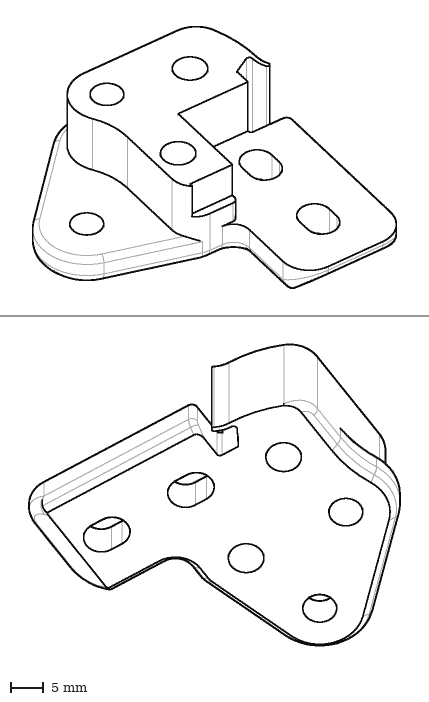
import cadquery as cq
import math


LENGTH = 51.5
WIDTH = 48.0

PIVOT = (0.0, 0.0)
TIP = (13.35, -13.1)
ELBOW = (17.6, 1.1)
UPPER = (2.3, 13.95)
SMALL_HOLE = 5.2
LARGE_HOLE = 5.45
SLOT_X = 17.65
SLOT_Y = 16.55
SLOT_PITCH = 15.45
SLOTS = [(SLOT_X, SLOT_Y), (SLOT_X + SLOT_PITCH, SLOT_Y)]
SLOT_LENGTH = 7.45

BASE_TOP = 5.6
PLATE_TOP = 6.05
LEDGE_TOP = 9.8
BLOCK_TOP = 16.0

RIM_RADIUS = 8.35
FLANK_RADIUS = 20.0
RIM_FILLET = 1.0
BASE_FRONT = TIP[1] - RIM_RADIUS

PLATE_LEFT = 10.6
PLATE_RIGHT = LENGTH - RIM_RADIUS
PLATE_BACK = BASE_FRONT + WIDTH
PLATE_FRONT = 6.4
PLATE_CORNER = 5.0
PLATE_SMALL_CORNER = 1.0
WEB_RADIUS = 3.0

BLOCK_LEFT = -6.15
BLOCK_FRONT = -3.15
BLOCK_RIGHT = 26.1
BLOCK_ARM_RIGHT = 10.0
BLOCK_FRONT_CORNER = 4.15
FRONT_CORNER = (BLOCK_RIGHT - BLOCK_FRONT_CORNER, BLOCK_FRONT + BLOCK_FRONT_CORNER)
WAIST_RADIUS = 11.85
BACK_CORNER = 5.05
LEDGE_LEFT = 24.6
LEDGE_FRONT = -1.55
LEDGE_CORNER = 1.0

BACK_RADIUS = 22.9
HOOK_START = (5.85, 23.95)
HOOK_RADIUS = 4.65
HOOK_THICKNESS = 0.75
HOOK_SWEEP = 30
NOTCH_FLOOR = 19.5
NOTCH_ROUND = 0.55
NOTCH_WALL_ANGLE = 60
NOTCH_CORNER = 0.55

MARGIN = 0.005

BEVEL = 1.55
END_BEVEL = 4.55
BEVEL_FILLET = 2.0


def on_circle(centre, radius, degrees):
    angle = math.radians(degrees)
    return (centre[0] + radius * math.cos(angle), centre[1] + radius * math.sin(angle))


def direction(start, end):
    return math.degrees(math.atan2(end[1] - start[1], end[0] - start[0]))


def tangent_angle(first, first_radius, second, second_radius):
    """Direction from both centres to the right-hand outer tangent, going first to second."""
    spread = math.degrees(math.acos((first_radius - second_radius) / math.dist(first, second)))
    return direction(first, second) - spread


def arc(sketch, centre, radius, start, end):
    """Add an arc from the current point, which lies at the start angle."""
    middle = on_circle(centre, radius, (start + end) / 2)
    return sketch.threePointArc(middle, on_circle(centre, radius, end))


def back_arcs():
    """Centres of the wide back arc and of the corner arc tangent to it, and where they meet."""
    back = (HOOK_START[0], HOOK_START[1] - BACK_RADIUS)
    corner_x = BLOCK_LEFT + BACK_CORNER
    corner_rise = math.sqrt((BACK_RADIUS - BACK_CORNER) ** 2 - (corner_x - back[0]) ** 2)
    corner = (corner_x, back[1] + corner_rise)
    return back, corner, direction(back, corner)


def flank_centre():
    """Centre of the concave arc that joins the block's left side to the rim around the pivot."""
    x = BLOCK_LEFT - FLANK_RADIUS
    return (x, math.sqrt((FLANK_RADIUS + RIM_RADIUS) ** 2 - x**2))


def footprint(z, round_corner=False):
    """Outline of the base, the block side and the plate; the back left corner is square or rounded."""
    flank = flank_centre()
    flank_angle = direction(PIVOT, flank)
    lower = tangent_angle(PIVOT, RIM_RADIUS, TIP, RIM_RADIUS)
    side = tangent_angle(TIP, RIM_RADIUS, FRONT_CORNER, BLOCK_FRONT_CORNER)
    web = (BLOCK_RIGHT + WEB_RADIUS, PLATE_FRONT - WEB_RADIUS)

    sketch = cq.Workplane("XY", origin=(0, 0, z))
    if round_corner:
        _, corner, back_angle = back_arcs()
        corner_end = on_circle(corner, BACK_CORNER, back_angle)
        sketch = sketch.moveTo(corner_end[0], PLATE_BACK).lineTo(*corner_end)
        sketch = arc(sketch, corner, BACK_CORNER, back_angle, 180)
    else:
        sketch = sketch.moveTo(BLOCK_LEFT, PLATE_BACK)
    sketch = sketch.lineTo(BLOCK_LEFT, flank[1])
    sketch = arc(sketch, flank, FLANK_RADIUS, 0, flank_angle - 180)
    sketch = arc(sketch, PIVOT, RIM_RADIUS, flank_angle, lower + 360)
    sketch = sketch.lineTo(*on_circle(TIP, RIM_RADIUS, lower))
    sketch = arc(sketch, TIP, RIM_RADIUS, lower, side)
    sketch = sketch.lineTo(*on_circle(FRONT_CORNER, BLOCK_FRONT_CORNER, side))
    sketch = arc(sketch, FRONT_CORNER, BLOCK_FRONT_CORNER, side, 0)
    sketch = sketch.lineTo(BLOCK_RIGHT, web[1])
    sketch = arc(sketch, web, WEB_RADIUS, 180, 90)
    return sketch.lineTo(PLATE_RIGHT, PLATE_FRONT).lineTo(PLATE_RIGHT, PLATE_BACK).close()


def nearest(x, y, z):
    return cq.selectors.NearestToPointSelector((x, y, z))


def within(x_min, x_max, y_min, y_max, z_min, z_max):
    """Selector for edges or faces whose centres lie in a box."""
    return cq.selectors.BoxSelector((x_min, y_min, z_min), (x_max, y_max, z_max))


def slab(x_min, x_max, y_min, y_max, z_min, z_max):
    size = (x_max - x_min, y_max - y_min, z_max - z_min)
    return cq.Workplane("XY").box(*size, centered=False).translate((x_min, y_min, z_min))


def make_base():
    """Triangular base with a rounded top rim, ending behind the start of its left flank."""
    area = slab(-RIM_RADIUS, BLOCK_RIGHT, BASE_FRONT, UPPER[1], 0, BASE_TOP)
    base = footprint(0).extrude(BASE_TOP).intersect(area)
    flank_end = flank_centre()[1]
    rim = within(-RIM_RADIUS, BLOCK_RIGHT - MARGIN, BASE_FRONT, flank_end, 0, BASE_TOP + MARGIN)
    return base.faces(">Z").edges(rim).fillet(RIM_FILLET)


def make_plate():
    """Slotted plate with a wide, softened bevel under its right end."""
    area = slab(BLOCK_ARM_RIGHT, PLATE_RIGHT, ELBOW[1], PLATE_BACK, 0, PLATE_TOP)
    notch = slab(BLOCK_ARM_RIGHT, PLATE_LEFT, NOTCH_FLOOR, PLATE_BACK, 0, PLATE_TOP)
    plate = footprint(0).extrude(PLATE_TOP).intersect(area).cut(notch)
    plate = plate.edges("|Z").edges(">X").fillet(PLATE_CORNER)
    plate = plate.edges(nearest(PLATE_LEFT, NOTCH_FLOOR, PLATE_TOP / 2)).fillet(NOTCH_CORNER)

    bevel_start = PLATE_RIGHT - END_BEVEL
    wedge = (
        cq.Workplane("XZ", origin=(0, PLATE_BACK, 0))
        .polyline([(bevel_start, 0), (PLATE_RIGHT, 0), (PLATE_RIGHT, END_BEVEL)])
        .close()
        .extrude(PLATE_BACK)
    )
    plate = plate.cut(wedge)
    bevel_end = PLATE_RIGHT + MARGIN
    bevel_top = within(bevel_start, bevel_end, PLATE_FRONT, PLATE_BACK, MARGIN, END_BEVEL + MARGIN)
    return plate.edges(bevel_top).edges("%ELLIPSE or >X").fillet(BEVEL_FILLET)


def block_outline():
    """Outline of the L-shaped block, with the thin hook and the notch at its back."""
    waist_y = BLOCK_FRONT - WAIST_RADIUS
    reach = WAIST_RADIUS - BLOCK_LEFT
    waist = (math.sqrt(reach**2 - waist_y**2), waist_y)
    waist_angle = direction(PIVOT, waist)

    back, corner, back_angle = back_arcs()

    hook = (HOOK_START[0], HOOK_START[1] + HOOK_RADIUS)
    hook_outer = HOOK_RADIUS + HOOK_THICKNESS
    hook_end = HOOK_SWEEP - 90
    hook_tip = on_circle(hook, HOOK_RADIUS + HOOK_THICKNESS / 2, hook_end)
    notch = (HOOK_START[0], HOOK_START[1] - HOOK_THICKNESS - NOTCH_ROUND)
    wall_end = 270 - NOTCH_WALL_ANGLE
    wall_top = on_circle(notch, NOTCH_ROUND, wall_end)
    wall_run = (wall_top[1] - NOTCH_FLOOR) / math.tan(math.radians(NOTCH_WALL_ANGLE))

    sketch = cq.Workplane("XY").moveTo(BLOCK_LEFT, corner[1]).lineTo(BLOCK_LEFT, PIVOT[1])
    sketch = arc(sketch, PIVOT, -BLOCK_LEFT, 180, waist_angle + 360)
    sketch = arc(sketch, waist, WAIST_RADIUS, waist_angle + 180, 90)
    sketch = sketch.lineTo(FRONT_CORNER[0], BLOCK_FRONT)
    sketch = arc(sketch, FRONT_CORNER, BLOCK_FRONT_CORNER, -90, 0)
    sketch = sketch.lineTo(BLOCK_RIGHT, PLATE_FRONT).lineTo(BLOCK_ARM_RIGHT, PLATE_FRONT)
    sketch = sketch.lineTo(BLOCK_ARM_RIGHT, NOTCH_FLOOR).lineTo(wall_top[0] + wall_run, NOTCH_FLOOR)
    sketch = sketch.lineTo(*wall_top)
    sketch = arc(sketch, notch, NOTCH_ROUND, wall_end, 90)
    sketch = arc(sketch, hook, hook_outer, -90, hook_end)
    sketch = arc(sketch, hook_tip, HOOK_THICKNESS / 2, hook_end, hook_end + 180)
    sketch = arc(sketch, hook, HOOK_RADIUS, hook_end, -90)
    sketch = arc(sketch, back, BACK_RADIUS, 90, back_angle)
    return arc(sketch, corner, BACK_CORNER, back_angle, 180).close()


def make_block():
    """Raised block, lowered to a narrow ledge at the right end of its arm."""
    block = block_outline().extrude(BLOCK_TOP)
    block = block.edges(nearest(BLOCK_RIGHT, PLATE_FRONT, BLOCK_TOP / 2)).fillet(LEDGE_CORNER)
    return block.cut(slab(LEDGE_LEFT, PLATE_RIGHT, LEDGE_FRONT, PLATE_BACK, LEDGE_TOP, BLOCK_TOP))


def bevelled_envelope():
    """Full-height prism over the whole part, with the softened bevel around its bottom edge."""
    prism = footprint(0, round_corner=True).extrude(BLOCK_TOP)
    layer = slab(-LENGTH, LENGTH, -WIDTH, WIDTH, 0, BEVEL)
    ring = layer.cut(footprint(BEVEL).extrude(-BEVEL, taper=45))
    prism = prism.cut(ring)
    level = within(-LENGTH, LENGTH, -WIDTH, WIDTH, BEVEL - MARGIN, BEVEL + MARGIN)
    return prism.edges(level).add(prism.edges("%ELLIPSE")).fillet(BEVEL_FILLET)


def make_holes():
    """Cutters for the round holes and the slots, all through."""
    small = cq.Workplane("XY").pushPoints([PIVOT, TIP]).circle(SMALL_HOLE / 2).extrude(BLOCK_TOP)
    large = cq.Workplane("XY").pushPoints([ELBOW, UPPER]).circle(LARGE_HOLE / 2).extrude(BLOCK_TOP)
    slots = cq.Workplane("XY").pushPoints(SLOTS).slot2D(SLOT_LENGTH, LARGE_HOLE).extrude(BLOCK_TOP)
    return small.union(large).union(slots)


body = make_base().union(make_plate()).union(make_block())
body = body.intersect(bevelled_envelope())
body = body.edges(nearest(PLATE_LEFT, PLATE_BACK, PLATE_TOP / 2)).fillet(PLATE_SMALL_CORNER)
result = body.cut(make_holes())